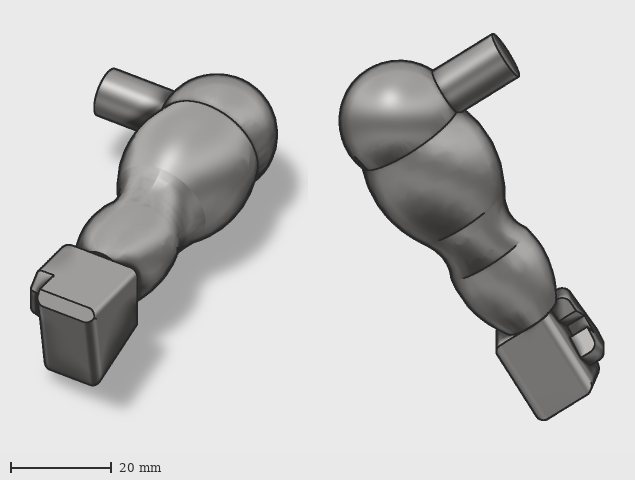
import cadquery as cq


ball_radius = 12.0
pin_diameter = 10.0
pin_reach = 25.0

body_start = 3.8
belly_distance = 12.8
neck_start = 22.95
neck_middle = 28.0
knuckle_start = 32.8
knuckle_middle = 39.6
head_back = 48.0
head_front = 80.0 - ball_radius

body_start_radius = (ball_radius**2 - body_start**2) ** 0.5
belly_radius = 12.92
neck_start_radius = 10.0
neck_half_width = 7.9
neck_half_height = 8.8
neck_drop = 0.9
knuckle_start_half_width = 9.0
knuckle_start_half_height = 8.0
knuckle_half_width = 9.3
knuckle_half_height = 9.0
knuckle_end_half_width = 6.0
knuckle_end_half_height = 8.0

block_left = -4.0
block_right = 9.0
hook_left = -8.1
edge_radius = 1.9
back_top = 8.1
back_bottom = -7.5
front_bottom = (-65.2, -10.5)
front_upper = (-head_front, 9.35)
top_front = (-65.75, 11.35)
hook_top_front = -60.0
hook_front = -63.5
hook_bottom = -0.1


def line_crossing(a, b, c, d):
    """Point where line a-b meets line c-d."""
    ab = (b[0] - a[0], b[1] - a[1])
    cd = (d[0] - c[0], d[1] - c[1])
    ac = (c[0] - a[0], c[1] - a[1])
    along = (ac[0] * cd[1] - ac[1] * cd[0]) / (ab[0] * cd[1] - ab[1] * cd[0])
    return (a[0] + along * ab[0], a[1] + along * ab[1])


def prism(points, left, right):
    """Extrude a (y, z) outline from x = left to x = right."""
    return cq.Workplane("YZ", origin=(left, 0, 0)).polyline(points).close().extrude(right - left)


def round_edges(solid, segments):
    """Round the straight edges given as (start, end) pairs of (x, y, z) points."""
    edges = []
    for start, end in segments:
        middle = tuple((a + b) / 2 for a, b in zip(start, end))
        edges.append(solid.edges(cq.selectors.NearestToPointSelector(middle)).val())
    return solid.newObject(edges).fillet(edge_radius)


def outline_segments(x, points):
    """Consecutive edges of an open (y, z) path at a given x."""
    return [((x, *a), (x, *b)) for a, b in zip(points, points[1:])]


def section(distance, half_width, half_height, drop=0):
    """Elliptical cross-section wire of the arm."""
    plane = cq.Workplane("XZ", origin=(0, -distance, -drop))
    return plane.ellipse(half_width, half_height).wires().val()


def make_body():
    """Barrel-shaped body, revolved about Y."""
    return (
        cq.Workplane("XY")
        .moveTo(0, -body_start)
        .lineTo(body_start_radius, -body_start)
        .spline([(belly_radius, -belly_distance), (neck_start_radius, -neck_start)], includeCurrent=True)
        .lineTo(0, -neck_start)
        .close()
        .revolve(360, (0, 0, 0), (0, 1, 0))
    )


def make_neck():
    """Waist that sags towards -Z in the middle."""
    wires = [
        section(neck_start, neck_start_radius, neck_start_radius),
        section(neck_middle, neck_half_width, neck_half_height, neck_drop),
        section(knuckle_start, knuckle_start_half_width, knuckle_start_half_height),
    ]
    return cq.Workplane(cq.Solid.makeLoft(wires))


def make_knuckle():
    """Bulge between the waist and the head, flattened at its far end."""
    wires = [
        section(knuckle_start, knuckle_start_half_width, knuckle_start_half_height),
        section(knuckle_middle, knuckle_half_width, knuckle_half_height),
        section(head_back, knuckle_end_half_width, knuckle_end_half_height),
    ]
    return cq.Workplane(cq.Solid.makeLoft(wires))


def make_block():
    """Wedge with rounded edges and a flat across its upper front edge."""
    top = (-head_back, back_top)
    bottom = (-head_back, back_bottom)
    corner = line_crossing(top, top_front, front_bottom, front_upper)
    block = prism([top, corner, front_bottom, bottom], block_left, block_right)
    rounded = outline_segments(block_right, [top, corner, front_bottom, bottom, top])
    rounded += outline_segments(block_left, [corner, front_bottom, bottom])
    rounded.append(((block_left, *top), (block_right, *top)))
    block = round_edges(block, rounded)
    return block.cut(prism([top_front, corner, front_upper], block_left, block_right))


def make_hook():
    """Claw beside the block, flush with its top, with a slanted notch underneath."""
    top = (-head_back, back_top)
    slope = (top_front[1] - back_top) / (top_front[0] + head_back)
    top_end = (hook_top_front, back_top + slope * (hook_top_front + head_back))
    bottom = (-head_back, hook_bottom)
    tip = (-60.0, -2.95)
    outer = [bottom, top, top_end, (hook_front, 7.5), (hook_front, 1.7), tip]
    notch = [(-56.1, 0.15), (-58.5, 3.3), (-55.0, 5.2), (-52.0, hook_bottom)]
    hook = prism(outer + notch, hook_left, block_left)
    rounded = outline_segments(hook_left, outer)
    rounded.append(((hook_left, *top), (block_left, *top)))
    return round_edges(hook, rounded)


ball = cq.Workplane("XY").sphere(ball_radius)
pin = cq.Workplane("YZ").circle(pin_diameter / 2).extrude(-pin_reach)

result = ball.union(pin)
for piece in (make_body(), make_neck(), make_knuckle(), make_block(), make_hook()):
    result = result.union(piece)